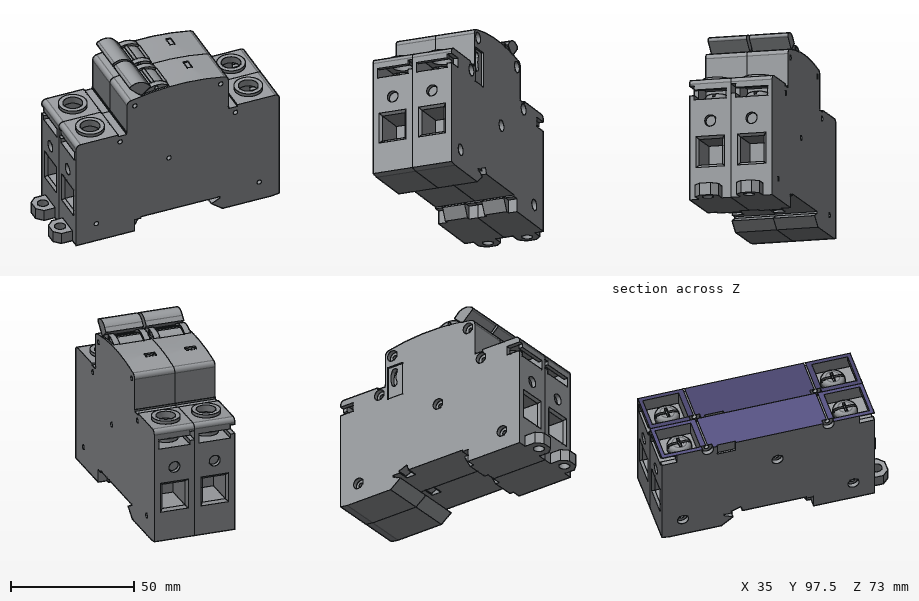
import cadquery as cq
import math


POLE_COUNT = 2
TOTAL_WIDTH = 35.0
POLE_WIDTH = TOTAL_WIDTH / POLE_COUNT
MID_X = POLE_WIDTH / 2
DEPTH = 90.0
MID_Y = DEPTH / 2
TOTAL_LENGTH = 97.5
TOTAL_HEIGHT = 73.0

SHOULDER_Z = 49.9
SHOULDER_RADIUS = 1.95
STEP_Y = 18.6
STEP_DEPTH = 0.8
TOWER_Y = 22.5
TOWER_FOOT_LEDGE = 0.2
TOWER_APEX_Z = 67.7
TOWER_ARC_RADIUS = 100.4
TOWER_CORNER_RADIUS = 2.2
BOTTOM_BEVEL_LENGTH = 3.4
BOTTOM_BEVEL_HEIGHT = 0.5

RAIL_Z = 6.2
RAIL_FRONT_Y = 28.8
RAIL_BACK_Y = 63.6
HOOK_TIP_Y = 59.9
HOOK_TIP_Z = 3.8
HOOK_ROOT_Z = 5.6
HOOK_BASE_Y = 64.8

LATCH_WIDTH = 9.8
LATCH_ROOM_Y = 25.8
LATCH_NOSE_Y = 30.3
LATCH_NOSE_Z = 5.0
LATCH_BASE_Y = 27.6
TAB_LENGTH = TOTAL_LENGTH - DEPTH
TAB_HEIGHT = 5.0
TAB_CHAMFER = 2.6
TAB_HOLE_DIAMETER = 4.5
TAB_HOLE_OFFSET = 3.3

GROOVE_LENGTH = 4.2
GROOVE_HEIGHT = 2.6
GROOVE_CORNER_Y = 56.7
GROOVE_CORNER_Z = 8.8
GROOVE_TILT = 22.0
GROOVE_DEPTH = 4.9

RIVET_DIAMETER = 1.95
RIVET_BORE_DIAMETER = 4.7
RIVET_BORE_DEPTH = 1.95
TOP_RIVET_OFFSET, TOP_RIVET_Z = 19.0, 62.4
SHOULDER_RIVET_OFFSET, SHOULDER_RIVET_Z = 25.5, 46.3
LOW_RIVET_OFFSET, LOW_RIVET_Z = 36.1, 8.5
MIDDLE_RIVET_OFFSET, MIDDLE_RIVET_Z = 3.9, 32.1

SIDE_WINDOW_Y0, SIDE_WINDOW_Y1 = 58.8, 66.5
SIDE_WINDOW_Z0, SIDE_WINDOW_Z1 = 42.9, 57.6
SIDE_WINDOW_DEPTH = 0.8
CURVED_SLOT_WIDTH = 2.6
CURVED_SLOT_Y = 63.4
CURVED_SLOT_Z = 52.5
CURVED_SLOT_RISE = 2.7
CURVED_SLOT_BOW = 0.6
CURVED_SLOT_DEPTH = 2.9

SCREW_Y = 9.9
COLLAR_DIAMETER = 11.7
COLLAR_HEIGHT = 1.4
COLLAR_BORE_DIAMETER = 8.0
CHAMBER_WIDTH = 13.6
CHAMBER_FLOOR_Z = 41.4
CHAMBER_ROOF_Z = 48.3
CHAMBER_BACK_Y = SCREW_Y + CHAMBER_WIDTH / 2
LIP_THICKNESS = 1.8
LIP_Z = 45.5
SIDE_NOTCH_LENGTH = 6.3
SIDE_NOTCH_Z0, SIDE_NOTCH_Z1 = 43.2, 47.2
SCREW_HEAD_DIAMETER = 10.1
SCREW_TOP_Z = 44.9
SCREW_HEAD_FILLET = 2.1
SCREW_SLOT_WIDTH = 1.0
SCREW_SLOT_DEPTH = 1.6
SCREW_CROSS_LENGTH = 4.7

TEST_HOLE_DIAMETER = 4.7
TEST_HOLE_Z = 32.5
TEST_HOLE_DEPTH = 1.95
CABLE_WIDTH = 9.9
CABLE_Z0, CABLE_Z1 = 14.3, 25.1
CABLE_DEPTH = 14.6
CABLE_CHAMFER = 1.1

INDICATOR_X0, INDICATOR_X1 = 3.5, 8.0
INDICATOR_Y0, INDICATOR_Y1 = 53.4, 55.6
INDICATOR_FLOOR_Z = 66.7

ROTOR_Y, ROTOR_Z = 36.3, 61.1
ROTOR_RADIUS = 8.3
ROTOR_WIDTH = 15.9
DRUM_RADIUS = 7.3
DRUM_WIDTH = 10.6
RECESS_BACK_ANGLE = 50.0
RECESS_FRONT_ANGLE = 135.0
RECESS_CLEARANCE = 0.5
PIN_HOLE_DIAMETER = 1.5
PIN_HOLE_Y, PIN_HOLE_Z = 35.9, 68.2
LEVER_WIDTH = 16.3
LEVER_APEX_Y = 27.7
LEVER_ARC_RADIUS = 5.5
LEVER_BACK = (33.2, 69.7)
LEVER_ARC_BACK_Y = 31.7
LEVER_ARC_FRONT_Y = 24.9
LEVER_NOSE_MIDDLE = (24.2, 71.7)
LEVER_NOSE_END = (24.3, 70.7)
LEVER_FOOT = (29.2, 66.1)

SELECTION_MARGIN = 0.1


def box_between(x0, x1, y0, y1, z0, z1):
    return cq.Workplane("XY").box(x1 - x0, y1 - y0, z1 - z0, centered=False).translate((x0, y0, z0))


def centred_box(width, y0, y1, z0, z1):
    """Box centred on the pole in X."""
    return box_between(MID_X - width / 2, MID_X + width / 2, y0, y1, z0, z1)


def side_sketch(width):
    """Plane seen along X, from which a centred profile of the given width is extruded."""
    return cq.Workplane("YZ", origin=(MID_X - width / 2, 0, 0))


def edge_near(y, z):
    """Selector for the edge across the pole at the given place in the side profile."""
    return cq.selectors.BoxSelector(
        (0, y - SELECTION_MARGIN, z - SELECTION_MARGIN),
        (POLE_WIDTH, y + SELECTION_MARGIN, z + SELECTION_MARGIN),
    )


def both_ends(feature):
    """A front terminal feature together with its mirror copy at the back."""
    return feature.union(feature.mirror("XZ", (0, MID_Y, 0)))


def housing_block():
    """Solid housing with shoulders, tower and rail recess."""
    tower_half = MID_Y - TOWER_Y
    tower_edge_z = TOWER_APEX_Z - TOWER_ARC_RADIUS + math.sqrt(TOWER_ARC_RADIUS**2 - tower_half**2)
    step_z = SHOULDER_Z - STEP_DEPTH
    foot_y = TOWER_Y - TOWER_FOOT_LEDGE
    block = (
        cq.Workplane("YZ")
        .moveTo(0, 0)
        .lineTo(0, SHOULDER_Z)
        .lineTo(STEP_Y, SHOULDER_Z)
        .lineTo(STEP_Y, step_z)
        .lineTo(foot_y, step_z)
        .lineTo(foot_y, SHOULDER_Z)
        .lineTo(TOWER_Y, SHOULDER_Z)
        .lineTo(TOWER_Y, tower_edge_z)
        .threePointArc((MID_Y, TOWER_APEX_Z), (DEPTH - TOWER_Y, tower_edge_z))
        .lineTo(DEPTH - TOWER_Y, SHOULDER_Z)
        .lineTo(DEPTH - foot_y, SHOULDER_Z)
        .lineTo(DEPTH - foot_y, step_z)
        .lineTo(DEPTH - STEP_Y, step_z)
        .lineTo(DEPTH - STEP_Y, SHOULDER_Z)
        .lineTo(DEPTH, SHOULDER_Z)
        .lineTo(DEPTH, BOTTOM_BEVEL_HEIGHT)
        .lineTo(DEPTH - BOTTOM_BEVEL_LENGTH, 0)
        .lineTo(HOOK_BASE_Y, 0)
        .lineTo(HOOK_TIP_Y, HOOK_TIP_Z)
        .lineTo(RAIL_BACK_Y, HOOK_ROOT_Z)
        .lineTo(RAIL_BACK_Y, RAIL_Z)
        .lineTo(RAIL_FRONT_Y, RAIL_Z)
        .lineTo(RAIL_FRONT_Y, HOOK_ROOT_Z)
        .lineTo(LATCH_ROOM_Y, HOOK_ROOT_Z)
        .lineTo(LATCH_ROOM_Y, 0)
        .close()
        .extrude(POLE_WIDTH)
    )
    for y in (0, DEPTH):
        block = block.edges(edge_near(y, SHOULDER_Z)).fillet(SHOULDER_RADIUS)
    for y in (TOWER_Y, DEPTH - TOWER_Y):
        block = block.edges(edge_near(y, tower_edge_z)).fillet(TOWER_CORNER_RADIUS)
    return block


def latch():
    """Rail nose and drilled pull tab of the sliding latch."""
    nose = (
        side_sketch(LATCH_WIDTH)
        .moveTo(LATCH_ROOM_Y, 0)
        .lineTo(LATCH_BASE_Y, 0)
        .lineTo(LATCH_NOSE_Y, LATCH_NOSE_Z)
        .lineTo(LATCH_NOSE_Y, HOOK_ROOT_Z)
        .lineTo(LATCH_ROOM_Y, HOOK_ROOT_Z)
        .close()
        .extrude(LATCH_WIDTH)
    )
    tab = (
        centred_box(LATCH_WIDTH, -TAB_LENGTH, 0, 0, TAB_HEIGHT)
        .edges("|Z and <Y")
        .chamfer(TAB_CHAMFER)
    )
    hole = (
        cq.Workplane("XY")
        .center(MID_X, -TAB_HOLE_OFFSET)
        .circle(TAB_HOLE_DIAMETER / 2)
        .extrude(TAB_HEIGHT)
    )
    return nose.union(tab.cut(hole))


def spring_groove():
    """Tilted rectangular groove in the -X wall that breaks into the rail recess."""
    return (
        cq.Workplane("YZ", origin=(0, GROOVE_CORNER_Y, GROOVE_CORNER_Z))
        .transformed(rotate=(0, 0, -GROOVE_TILT))
        .rect(GROOVE_LENGTH, -GROOVE_HEIGHT, centered=False)
        .extrude(GROOVE_DEPTH)
    )


def rivet_holes():
    """Through holes along X, each counterbored from the -X wall."""
    centres = [(MID_Y - MIDDLE_RIVET_OFFSET, MIDDLE_RIVET_Z)]
    for offset, z in (
        (TOP_RIVET_OFFSET, TOP_RIVET_Z),
        (SHOULDER_RIVET_OFFSET, SHOULDER_RIVET_Z),
        (LOW_RIVET_OFFSET, LOW_RIVET_Z),
    ):
        centres += [(MID_Y - offset, z), (MID_Y + offset, z)]
    holes = cq.Workplane("YZ").pushPoints(centres)
    through = holes.circle(RIVET_DIAMETER / 2).extrude(POLE_WIDTH)
    bores = holes.circle(RIVET_BORE_DIAMETER / 2).extrude(RIVET_BORE_DEPTH)
    return through.union(bores)


def side_window():
    """Shallow rectangular recess in the -X wall with a curved slot in its floor."""
    recess = box_between(
        0, SIDE_WINDOW_DEPTH, SIDE_WINDOW_Y0, SIDE_WINDOW_Y1, SIDE_WINDOW_Z0, SIDE_WINDOW_Z1
    )
    radius = (CURVED_SLOT_RISE**2 + CURVED_SLOT_BOW**2) / (2 * CURVED_SLOT_BOW)
    centre_y = CURVED_SLOT_Y + CURVED_SLOT_BOW - radius
    half_angle = math.asin(CURVED_SLOT_RISE / radius)
    half_width = CURVED_SLOT_WIDTH / 2

    def on_slot(r, angle):
        return (centre_y + r * math.cos(angle), CURVED_SLOT_Z + r * math.sin(angle))

    inner, outer = radius - half_width, radius + half_width
    cap_angle = half_width / radius + half_angle
    slot = (
        cq.Workplane("YZ")
        .moveTo(*on_slot(outer, -half_angle))
        .threePointArc(on_slot(outer, 0), on_slot(outer, half_angle))
        .threePointArc(on_slot(radius, cap_angle), on_slot(inner, half_angle))
        .threePointArc(on_slot(inner, 0), on_slot(inner, -half_angle))
        .threePointArc(on_slot(radius, -cap_angle), on_slot(outer, -half_angle))
        .close()
        .extrude(CURVED_SLOT_DEPTH)
    )
    return recess.union(slot)


def collar():
    """Raised ring around a screw opening."""
    return (
        cq.Workplane("XY", origin=(MID_X, SCREW_Y, SHOULDER_Z))
        .circle(COLLAR_DIAMETER / 2)
        .extrude(COLLAR_HEIGHT)
    )


def screw_chamber():
    """Chamber for the screw head, open at the front below a lip, at the -X corner and at the top."""
    chamber = centred_box(
        CHAMBER_WIDTH, LIP_THICKNESS, CHAMBER_BACK_Y, CHAMBER_FLOOR_Z, CHAMBER_ROOF_Z
    )
    front_slot = centred_box(CHAMBER_WIDTH, 0, LIP_THICKNESS, CHAMBER_FLOOR_Z, LIP_Z)
    chamber_wall = (POLE_WIDTH - CHAMBER_WIDTH) / 2
    side_notch = box_between(0, chamber_wall, 0, SIDE_NOTCH_LENGTH, SIDE_NOTCH_Z0, SIDE_NOTCH_Z1)
    bore = (
        cq.Workplane("XY", origin=(MID_X, SCREW_Y, CHAMBER_FLOOR_Z))
        .circle(COLLAR_BORE_DIAMETER / 2)
        .extrude(SHOULDER_Z + COLLAR_HEIGHT - CHAMBER_FLOOR_Z)
    )
    return chamber.union(front_slot).union(side_notch).union(bore)


def screw_head():
    """Rounded screw head standing on the chamber floor, with a crossed slot."""
    slot_floor_z = SCREW_TOP_Z - SCREW_SLOT_DEPTH
    radius = SCREW_HEAD_DIAMETER / 2
    head = (
        cq.Workplane("XY", origin=(MID_X, SCREW_Y, CHAMBER_FLOOR_Z))
        .circle(radius)
        .extrude(SCREW_TOP_Z - CHAMBER_FLOOR_Z)
        .faces(">Z")
        .edges()
        .fillet(SCREW_HEAD_FILLET)
    )
    long_slot = centred_box(
        SCREW_SLOT_WIDTH, SCREW_Y - radius, SCREW_Y + radius, slot_floor_z, SCREW_TOP_Z
    )
    half_slot = SCREW_SLOT_WIDTH / 2
    cross_slot = centred_box(
        SCREW_CROSS_LENGTH, SCREW_Y - half_slot, SCREW_Y + half_slot, slot_floor_z, SCREW_TOP_Z
    )
    return head.cut(long_slot).cut(cross_slot)


def front_openings():
    """Test hole and chamfered cable entry in the front wall."""
    test_hole = (
        cq.Workplane("XZ", origin=(MID_X, 0, TEST_HOLE_Z))
        .circle(TEST_HOLE_DIAMETER / 2)
        .extrude(-TEST_HOLE_DEPTH)
    )
    cable_height = CABLE_Z1 - CABLE_Z0
    cable_entry = centred_box(CABLE_WIDTH, 0, CABLE_DEPTH, CABLE_Z0, CABLE_Z1)
    flare = (
        cq.Workplane("XZ", origin=(MID_X, 0, (CABLE_Z0 + CABLE_Z1) / 2))
        .rect(CABLE_WIDTH + 2 * CABLE_CHAMFER, cable_height + 2 * CABLE_CHAMFER)
        .workplane(offset=-CABLE_CHAMFER)
        .rect(CABLE_WIDTH, cable_height)
        .loft()
    )
    return test_hole.union(cable_entry).union(flare)


def indicator_recess():
    return box_between(
        INDICATOR_X0, INDICATOR_X1, INDICATOR_Y0, INDICATOR_Y1, INDICATOR_FLOOR_Z, TOWER_APEX_Z
    )


def rotor():
    """Round handle boss, sunk into the tower."""
    return side_sketch(ROTOR_WIDTH).center(ROTOR_Y, ROTOR_Z).circle(ROTOR_RADIUS).extrude(ROTOR_WIDTH)


def rotor_recess():
    """Ring sector that lowers the middle of the rotor to a drum, with a radial wall at the back."""
    back_angle = math.radians(RECESS_BACK_ANGLE)
    front_angle = math.radians(RECESS_FRONT_ANGLE)
    outer_radius = ROTOR_RADIUS + RECESS_CLEARANCE

    def on_rotor(r, angle):
        return (ROTOR_Y + r * math.cos(angle), ROTOR_Z + r * math.sin(angle))

    middle_angle = (back_angle + front_angle) / 2
    return (
        side_sketch(DRUM_WIDTH)
        .moveTo(*on_rotor(DRUM_RADIUS, back_angle))
        .lineTo(*on_rotor(outer_radius, back_angle))
        .threePointArc(on_rotor(outer_radius, middle_angle), on_rotor(outer_radius, front_angle))
        .lineTo(*on_rotor(DRUM_RADIUS, front_angle))
        .threePointArc(on_rotor(DRUM_RADIUS, middle_angle), on_rotor(DRUM_RADIUS, back_angle))
        .close()
        .extrude(DRUM_WIDTH)
    )


def pin_hole():
    return (
        cq.Workplane("YZ")
        .center(PIN_HOLE_Y, PIN_HOLE_Z)
        .circle(PIN_HOLE_DIAMETER / 2)
        .extrude(POLE_WIDTH)
    )


def lever():
    """Rounded lever bar that leans forward."""

    def on_arc(y):
        drop = LEVER_ARC_RADIUS - math.sqrt(LEVER_ARC_RADIUS**2 - (y - LEVER_APEX_Y) ** 2)
        return (y, TOTAL_HEIGHT - drop)

    return (
        side_sketch(LEVER_WIDTH)
        .moveTo(*LEVER_BACK)
        .lineTo(*on_arc(LEVER_ARC_BACK_Y))
        .threePointArc((LEVER_APEX_Y, TOTAL_HEIGHT), on_arc(LEVER_ARC_FRONT_Y))
        .threePointArc(LEVER_NOSE_MIDDLE, LEVER_NOSE_END)
        .lineTo(*LEVER_FOOT)
        .close()
        .extrude(LEVER_WIDTH)
    )


def breaker_pole():
    """One complete pole with its -X wall at x = 0."""
    pole = housing_block()
    pole = pole.union(both_ends(collar()))
    pole = pole.cut(both_ends(screw_chamber()))
    pole = pole.union(both_ends(screw_head()))
    pole = pole.cut(both_ends(front_openings()))
    pole = pole.cut(indicator_recess())
    pole = pole.cut(side_window())
    pole = pole.cut(spring_groove())
    pole = pole.union(rotor()).cut(rotor_recess()).cut(pin_hole())
    pole = pole.union(lever())
    pole = pole.union(latch())
    return pole.cut(rivet_holes())


first_pole = breaker_pole()
poles = []
for index in range(POLE_COUNT):
    poles.append(first_pole.translate((index * POLE_WIDTH, 0, 0)))

result = cq.Compound.makeCompound([pole.val() for pole in poles])